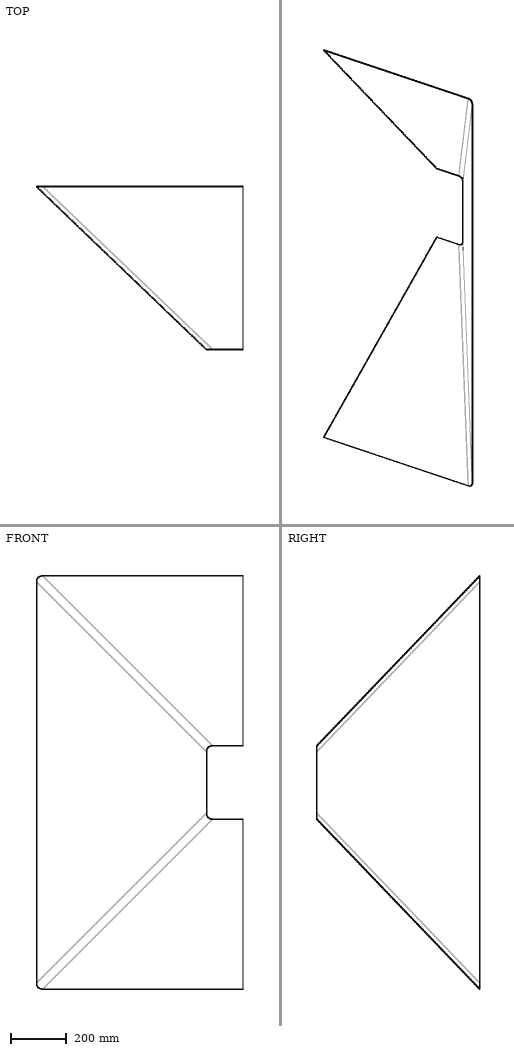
import cadquery as cq

large_half = 740.0
small_half = 132.0
depth = 583.0
sheet = 3.0
inner_bend_radius = 30.0
outer_bend_radius = inner_bend_radius + sheet

small_mouth_y = -depth / 2
large_mouth_y = depth / 2


def outer_frustum():
    """Solid square frustum bounded by the outside of the sheet, with rounded hips."""
    frustum = (
        cq.Workplane("XZ", origin=(0, large_mouth_y, 0))
        .rect(2 * large_half, 2 * large_half)
        .workplane(offset=depth)
        .rect(2 * small_half, 2 * small_half)
        .loft(ruled=True)
    )
    hips = frustum.faces("not(|Y)").edges("not(#Y)")
    return hips.fillet(outer_bend_radius)


def left_half(body):
    """The part of a body on the -X side of the hopper axis."""
    width = 2 * large_half
    block = cq.Workplane("XY").box(width, width, width).translate((-width / 2, 0, 0))
    return body.intersect(block)


def sheet_walls(body):
    """Sheet built inward from the outside walls and bends, its mouth edges square to the sheet."""
    outside_faces = body.faces("not(|Y or >X)").vals()
    pieces = [face.thicken(-sheet) for face in outside_faces]
    return cq.Workplane(pieces[0].fuse(*pieces[1:]).clean())


result = sheet_walls(left_half(outer_frustum()))